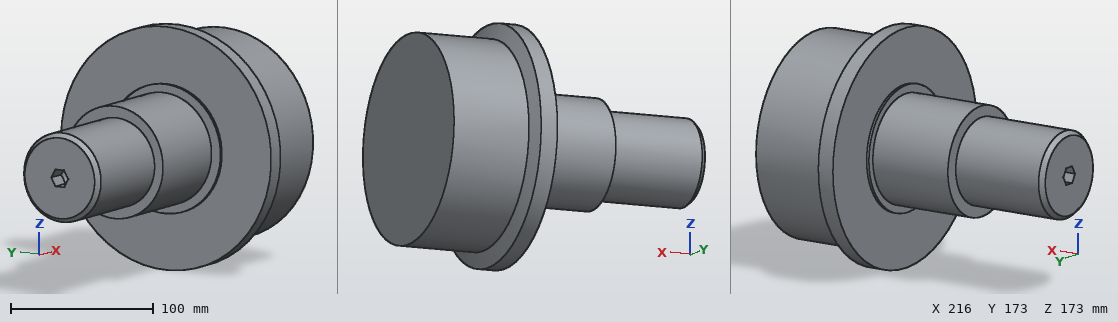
import cadquery as cq
import math

total_length = 216.0
shoulder_x = 75.0
spacer_x = 139.5
flange_x = 141.5
bevel_x = 154.0
tread_x = 158.1

stud_diameter = 63.5
collar_diameter = 80.0
spacer_diameter = 92.0
flange_diameter = 173.0
tread_diameter = 150.1

collar_offset_y = 1.3

chamfer_length = 3.7
chamfer_height = 3.0

hex_across_flats = 12.0
hex_depth = 13.0
cone_angle = 120.0


def cylinder(start_x, end_x, diameter, offset_y=0.0):
    """Solid cylinder parallel to X."""
    return (
        cq.Workplane("YZ", origin=(start_x, offset_y, 0))
        .circle(diameter / 2)
        .extrude(end_x - start_x)
    )


def make_stud():
    """Stud with a chamfered free end."""
    radius = stud_diameter / 2
    profile = [
        (0, 0),
        (0, radius - chamfer_height),
        (chamfer_length, radius),
        (shoulder_x, radius),
        (shoulder_x, 0),
    ]
    return cq.Workplane("XY").polyline(profile).close().revolve(360, (0, 0), (1, 0))


def make_wheel():
    """Wheel tread with a flange that is bevelled towards the tread."""
    profile = [
        (flange_x, 0),
        (flange_x, flange_diameter / 2),
        (bevel_x, flange_diameter / 2),
        (tread_x, tread_diameter / 2),
        (total_length, tread_diameter / 2),
        (total_length, 0),
    ]
    return cq.Workplane("XY").polyline(profile).close().revolve(360, (0, 0), (1, 0))


def make_hex_socket():
    """Hex recess in the stud end, closed by a cone across its corners."""
    across_corners = hex_across_flats / math.cos(math.radians(30))
    cone_radius = across_corners / 2
    cone_depth = cone_radius / math.tan(math.radians(cone_angle / 2))
    hexagon = cq.Workplane("YZ").polygon(6, across_corners).extrude(hex_depth + cone_depth)
    bore_profile = [
        (0, 0),
        (0, cone_radius),
        (hex_depth, cone_radius),
        (hex_depth + cone_depth, 0),
    ]
    bore = cq.Workplane("XY").polyline(bore_profile).close().revolve(360, (0, 0), (1, 0))
    return hexagon.intersect(bore)


collar = cylinder(shoulder_x, spacer_x, collar_diameter, collar_offset_y)
spacer = cylinder(spacer_x, flange_x, spacer_diameter)

result = make_stud().union(collar).union(spacer).union(make_wheel()).cut(make_hex_socket())